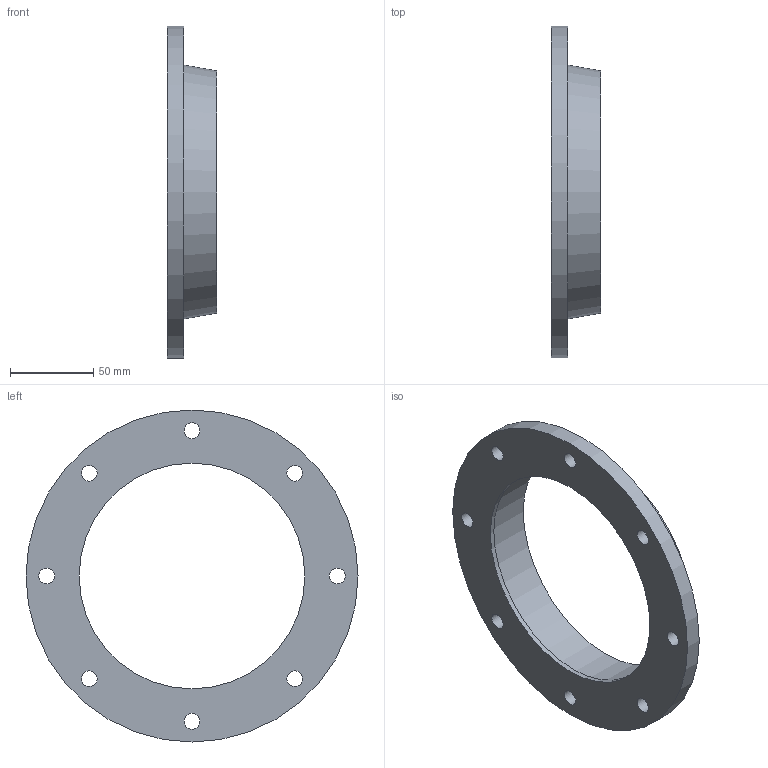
import cadquery as cq

flange_diameter = 200.0
flange_thickness = 10.0

collar_length = 20.0
collar_base_diameter = 153.0
collar_end_diameter = 146.0

lip_diameter = 136.0
lip_depth = 3.0
bore_diameter = 140.0

bolt_hole_count = 8
bolt_hole_diameter = 9.5
bolt_circle_diameter = 175.0

total_length = flange_thickness + collar_length


def make_ring():
    """Revolve the flange, collar and stepped bore about the X axis."""
    profile = [
        (0, lip_diameter / 2),
        (0, flange_diameter / 2),
        (flange_thickness, flange_diameter / 2),
        (flange_thickness, collar_base_diameter / 2),
        (total_length, collar_end_diameter / 2),
        (total_length, bore_diameter / 2),
        (lip_depth, bore_diameter / 2),
        (lip_depth, lip_diameter / 2),
    ]
    return cq.Workplane("XY").polyline(profile).close().revolve(360, (0, 0, 0), (1, 0, 0))


def make_bolt_holes():
    """Cylinders through the flange, evenly spaced on the bolt circle."""
    return (
        cq.Workplane("YZ")
        .polarArray(bolt_circle_diameter / 2, 0, 360, bolt_hole_count)
        .circle(bolt_hole_diameter / 2)
        .extrude(flange_thickness)
    )


result = make_ring().cut(make_bolt_holes())